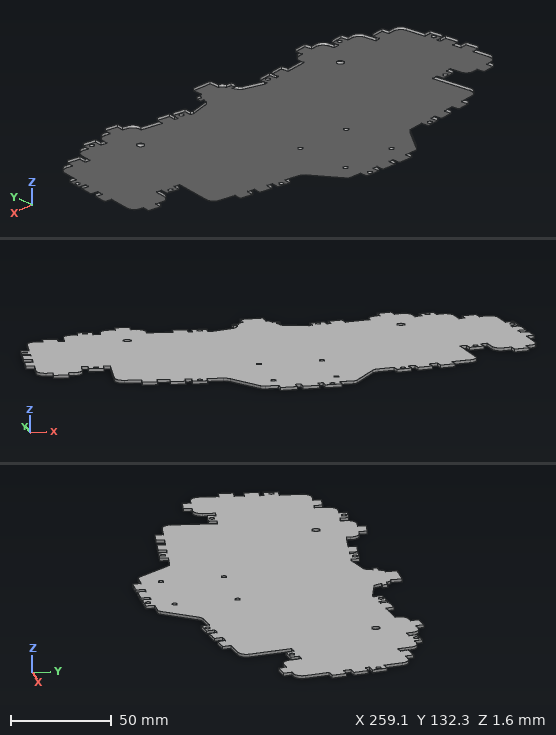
import math

import cadquery as cq

THICKNESS = 1.6
LEFT, RIGHT = -1, 1

WING_TILT = math.radians(8)

TIP_U = 124.4
OUTER_STEP_U = 105.4
MIDDLE_STEP_U = 86.4
INNER_STEP_U = 63.4
LOBE_INNER_U = 101.3
WAIST_U = 86.9

TIP_TOP_V = 29.7
MIDDLE_TOP_V = 41.2
CROWN_TOP_V = 49.1
LOBE_BOTTOM_V = -31
LOBE_ROOT_V = -19.9
TIP_OFFSET_V = {LEFT: 0.65, RIGHT: -0.65}
SHOULDER_V = 43
WAIST_BOTTOM_V = -47.2
SHOULDER_END_U = 31.1
WAIST_END_U = 31.1

PLATE_LENGTH = 132.3
HEAD_TOP_Y = PLATE_LENGTH / 2
HEAD_WIDTH = 11.8
HEAD_BASE_Y = 60.2
HEAD_SHOULDER_X = 7.6
NECK_X = 11.6
NECK_Y = 50.6
EAR_SPAN = 24
EAR_BOTTOM_Y = 54.7
EAR_TOP_Y = 57.5
TAIL_BOTTOM_Y = -61.7
TAIL_CORNER_X = 23.8

WING_RADIUS = 4.6
NECK_RADIUS = 2.4
TAIL_RADIUS = 2.6

TAB_WIDTH = 7.7
TAB_DEPTH = 4.3
TAB_ROOT = 1.0
TAIL_TAB_WIDTH = 8.6
TAIL_TAB_DEPTH = PLATE_LENGTH - (HEAD_TOP_Y - TAIL_BOTTOM_Y)
TIP_TABS_V = {LEFT: (10.4, 0.7, -12), RIGHT: (10.8, 0.9, -10.6)}
TIP_TOP_TAB_U = 112.3
MIDDLE_TOP_TAB_U = 94.0
CROWN_TAB_U = 74.6
LOBE_TAB_U = {LEFT: 112.6, RIGHT: 113.8}
LOBE_ROOT_TAB_U = 94.2
SHOULDER_TABS_U = (46.5, 36.8)
WAIST_TABS_U = {LEFT: (69.9, 55.9, 45), RIGHT: (68.6, 56.6, 45.5)}
TAIL_TABS_X = (-11.4, 0.0, 11.3)

TAB_HOLE_DIAMETER = 2.5
TAB_HOLE_INSET = 2.3
MOUNT_HOLE_DIAMETER = 2.5
MOUNT_HOLE_PITCH = 32.0
MOUNT_CENTRE_Y = -35.6
WING_HOLE_DIAMETER = 4.0
WING_HOLE_X = 69.6
WING_HOLE_Y = 38.8


def wing_point(u, v):
    """Turn a point of the right wing's frame into plate coordinates."""
    x = u * math.cos(WING_TILT) - v * math.sin(WING_TILT)
    y = u * math.sin(WING_TILT) + v * math.cos(WING_TILT)
    return x, y


def unit(start, end):
    """The unit vector pointing from start to end."""
    length = math.dist(start, end)
    return (end[0] - start[0]) / length, (end[1] - start[1]) / length


def rounded_plate(corners):
    """Extrude a closed outline of (point, radius) corners; radius 0 leaves a corner sharp."""
    path = []
    for index, (point, radius) in enumerate(corners):
        if radius == 0:
            path.append((point,))
            continue
        back = unit(point, corners[index - 1][0])
        ahead = unit(point, corners[(index + 1) % len(corners)][0])
        half_angle = math.acos(back[0] * ahead[0] + back[1] * ahead[1]) / 2
        tangent = radius / math.tan(half_angle)
        start = (point[0] + back[0] * tangent, point[1] + back[1] * tangent)
        end = (point[0] + ahead[0] * tangent, point[1] + ahead[1] * tangent)
        bisector = unit((0, 0), (back[0] + ahead[0], back[1] + ahead[1]))
        to_arc = radius / math.sin(half_angle) - radius
        middle = (point[0] + bisector[0] * to_arc, point[1] + bisector[1] * to_arc)
        path.append((start, middle, end))

    outline = cq.Workplane("XY").moveTo(*path[0][-1])
    for stop in path[1:] + path[:1]:
        outline = outline.lineTo(*stop[0])
        if len(stop) > 1:
            outline = outline.threePointArc(stop[1], stop[2])
    return outline.close().extrude(THICKNESS)


def half_plate(side):
    """One half of the plate without its tabs, from the centre line to the wing tip."""
    offset = TIP_OFFSET_V[side]
    tip_top = TIP_TOP_V + offset
    middle_top = MIDDLE_TOP_V + offset
    crown_top = CROWN_TOP_V + offset
    lobe_bottom = LOBE_BOTTOM_V + offset
    lobe_root = LOBE_ROOT_V + offset
    tail = [
        ((0, TAIL_BOTTOM_Y), 0),
        ((TAIL_CORNER_X, TAIL_BOTTOM_Y), TAIL_RADIUS),
    ]
    wing = [
        (wing_point(WAIST_END_U, WAIST_BOTTOM_V), WING_RADIUS),
        (wing_point(WAIST_U, WAIST_BOTTOM_V), WING_RADIUS),
        (wing_point(WAIST_U, lobe_root), 0),
        (wing_point(LOBE_INNER_U, lobe_root), 0),
        (wing_point(LOBE_INNER_U, lobe_bottom), WING_RADIUS),
        (wing_point(TIP_U, lobe_bottom), WING_RADIUS),
        (wing_point(TIP_U, tip_top), WING_RADIUS),
        (wing_point(OUTER_STEP_U, tip_top), 0),
        (wing_point(OUTER_STEP_U, middle_top), WING_RADIUS),
        (wing_point(MIDDLE_STEP_U, middle_top), 0),
        (wing_point(MIDDLE_STEP_U, crown_top), WING_RADIUS),
        (wing_point(INNER_STEP_U, crown_top), WING_RADIUS),
        (wing_point(INNER_STEP_U, SHOULDER_V), 0),
        (wing_point(SHOULDER_END_U, SHOULDER_V), 0),
    ]
    head = [
        ((NECK_X, NECK_Y), NECK_RADIUS),
        ((HEAD_SHOULDER_X, HEAD_BASE_Y), NECK_RADIUS),
        ((HEAD_WIDTH / 2, HEAD_BASE_Y), 0),
        ((HEAD_WIDTH / 2, HEAD_TOP_Y), 0),
        ((0, HEAD_TOP_Y), 0),
    ]
    half = rounded_plate(tail + wing + head)
    return half if side == RIGHT else half.mirror("YZ")


def block(u_min, u_max, v_min, v_max):
    """A full-thickness rectangle between the given limits."""
    size_u = u_max - u_min
    size_v = v_max - v_min
    return cq.Workplane("XY").box(size_u, size_v, THICKNESS, centered=False).translate((u_min, v_min, 0))


def top_tab(u, edge):
    """A tab standing on an edge that faces up the wing."""
    return block(u - TAB_WIDTH / 2, u + TAB_WIDTH / 2, edge - TAB_ROOT, edge + TAB_DEPTH)


def bottom_tab(u, edge):
    """A tab hanging from an edge that faces down the wing."""
    return block(u - TAB_WIDTH / 2, u + TAB_WIDTH / 2, edge - TAB_DEPTH, edge + TAB_ROOT)


def tip_tab(v):
    """A tab reaching out from the wing tip."""
    return block(TIP_U - TAB_ROOT, TIP_U + TAB_DEPTH, v - TAB_WIDTH / 2, v + TAB_WIDTH / 2)


def place_on_wing(shape, side):
    """Move a shape from the wing frame onto the left or right wing."""
    placed = shape.rotate((0, 0, 0), (0, 0, 1), math.degrees(WING_TILT))
    return placed if side == RIGHT else placed.mirror("YZ")


def wing_tabs(side):
    """All joint tabs of one wing, in plate coordinates."""
    offset = TIP_OFFSET_V[side]
    tabs = [
        top_tab(TIP_TOP_TAB_U, TIP_TOP_V + offset),
        top_tab(MIDDLE_TOP_TAB_U, MIDDLE_TOP_V + offset),
        top_tab(CROWN_TAB_U, CROWN_TOP_V + offset),
        bottom_tab(LOBE_TAB_U[side], LOBE_BOTTOM_V + offset),
        bottom_tab(LOBE_ROOT_TAB_U, LOBE_ROOT_V + offset),
    ]
    tabs += [tip_tab(v) for v in TIP_TABS_V[side]]
    tabs += [top_tab(u, SHOULDER_V) for u in SHOULDER_TABS_U]
    tabs += [bottom_tab(u, WAIST_BOTTOM_V) for u in WAIST_TABS_U[side]]
    return [place_on_wing(tab, side) for tab in tabs]


def tail_tabs():
    tip_y = TAIL_BOTTOM_Y - TAIL_TAB_DEPTH
    half = TAIL_TAB_WIDTH / 2
    return [block(x - half, x + half, tip_y, TAIL_BOTTOM_Y + TAB_ROOT) for x in TAIL_TABS_X]


def ears():
    """The narrow bar whose two ends stick out beside the head."""
    return block(-EAR_SPAN / 2, EAR_SPAN / 2, EAR_BOTTOM_Y, EAR_TOP_Y)


def drill(points, diameter):
    return cq.Workplane("XY").pushPoints(points).circle(diameter / 2).extrude(THICKNESS)


def wing_tab_holes(side):
    """The screw holes of a wing: one each in five of its tabs."""
    offset = TIP_OFFSET_V[side]
    points = [
        (MIDDLE_TOP_TAB_U, MIDDLE_TOP_V + offset + TAB_HOLE_INSET),
        (LOBE_ROOT_TAB_U, LOBE_ROOT_V + offset - TAB_HOLE_INSET),
        (TIP_U + TAB_HOLE_INSET, TIP_TABS_V[side][0]),
        (SHOULDER_TABS_U[-1], SHOULDER_V + TAB_HOLE_INSET),
        (WAIST_TABS_U[side][-1], WAIST_BOTTOM_V - TAB_HOLE_INSET),
    ]
    return place_on_wing(drill(points, TAB_HOLE_DIAMETER), side)


def tail_tab_hole():
    return drill([(TAIL_TABS_X[-1], TAIL_BOTTOM_Y - TAB_HOLE_INSET)], TAB_HOLE_DIAMETER)


def mount_holes():
    half = MOUNT_HOLE_PITCH / 2
    corners = [(x, MOUNT_CENTRE_Y + y) for x in (-half, half) for y in (-half, half)]
    return drill(corners, MOUNT_HOLE_DIAMETER)


def wing_holes():
    return drill([(side * WING_HOLE_X, WING_HOLE_Y) for side in (LEFT, RIGHT)], WING_HOLE_DIAMETER)


plate = half_plate(LEFT).union(half_plate(RIGHT)).union(ears())
for tab in wing_tabs(LEFT) + wing_tabs(RIGHT) + tail_tabs():
    plate = plate.union(tab)
plate = plate.clean()

for holes in (wing_tab_holes(LEFT), wing_tab_holes(RIGHT), tail_tab_hole(), mount_holes(), wing_holes()):
    plate = plate.cut(holes)

result = plate